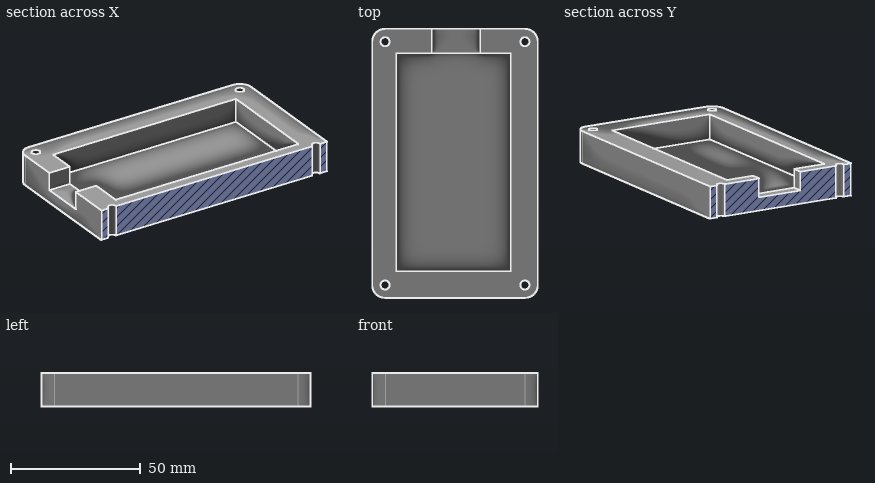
import cadquery as cq

WIDTH = 63.86
LENGTH = 103.7
HEIGHT = 13.0
CORNER_RADIUS = 5.0

WALL_LEFT = 9.3
WALL_RIGHT = 10.4
WALL_FRONT = 10.3
WALL_BACK = 9.4
FLOOR_THICKNESS = 3.0

NOTCH_WIDTH = 18.6
NOTCH_OFFSET_X = 0.4
NOTCH_DEPTH = 7.5

HOLE_DIAMETER = 3.4
HOLE_INSET = CORNER_RADIUS


def box_between(x_min, x_max, y_min, y_max, z_min, z_max):
    """Return a plain box spanning the given limits."""
    size = (x_max - x_min, y_max - y_min, z_max - z_min)
    return cq.Workplane("XY").box(*size, centered=False).translate((x_min, y_min, z_min))


def make_block():
    """Return the solid outer block with rounded vertical corners."""
    block = cq.Workplane("XY").box(WIDTH, LENGTH, HEIGHT, centered=(True, True, False))
    return block.edges("|Z").fillet(CORNER_RADIUS)


def make_cavity():
    """Return the volume removed to form the rectangular cavity."""
    return box_between(
        -WIDTH / 2 + WALL_LEFT,
        WIDTH / 2 - WALL_RIGHT,
        -LENGTH / 2 + WALL_FRONT,
        LENGTH / 2 - WALL_BACK,
        FLOOR_THICKNESS,
        HEIGHT,
    )


def make_notch():
    """Return the volume removed to open the back wall into the cavity."""
    return box_between(
        NOTCH_OFFSET_X - NOTCH_WIDTH / 2,
        NOTCH_OFFSET_X + NOTCH_WIDTH / 2,
        LENGTH / 2 - WALL_BACK,
        LENGTH / 2,
        HEIGHT - NOTCH_DEPTH,
        HEIGHT,
    )


def make_screw_holes():
    """Return the four cylinders removed for the through holes."""
    spacing_x = WIDTH - 2 * HOLE_INSET
    spacing_y = LENGTH - 2 * HOLE_INSET
    centres = cq.Workplane("XY").rect(spacing_x, spacing_y, forConstruction=True).vertices()
    return centres.circle(HOLE_DIAMETER / 2).extrude(HEIGHT)


result = make_block().cut(make_cavity()).cut(make_notch()).cut(make_screw_holes())